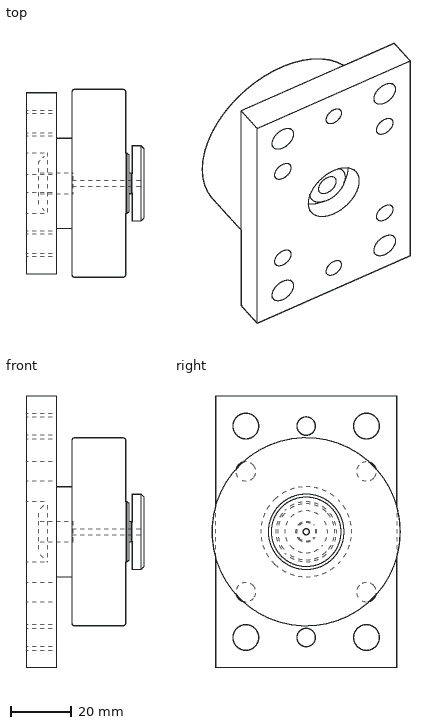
import cadquery as cq

plate_thickness = 10.0
plate_width = 60.0
plate_height = 90.0

hole_offset_y = 20.0
outer_hole_offset_z = 35.0
inner_hole_offset_z = 20.0
corner_hole_diameter = 8.5
inner_hole_diameter = 6.5
middle_hole_diameter = 6.0

neck_diameter = 30.0
neck_length = 5.0
wheel_diameter = 62.4
wheel_width = 17.9
wheel_edge_fillet = 1.0

axle_diameter = 20.0
axle_recess = 4.0
axle_back_chamfer = 3.0
axle_front_chamfer = 0.6
axle_protrusion = 1.1

pin_diameter = 6.9
pin_chamfer = 0.4
fine_hole_diameter = 2.0
disc_gap = 1.0
disc_diameter = 25.0
disc_thickness = 4.0
disc_front_chamfer = 1.0

wheel_start = plate_thickness + neck_length
wheel_end = wheel_start + wheel_width
axle_end = wheel_end + axle_protrusion
disc_start = axle_end + disc_gap
disc_end = disc_start + disc_thickness
pin_start = wheel_start


def cylinder_along_x(start, end, diameter):
    """Cylinder centred on the X axis between two X stations."""
    return cq.Workplane("YZ", origin=(start, 0, 0)).circle(diameter / 2).extrude(end - start)


def plate_holes(diameter, centres):
    """Round cutters through the plate at the given (Y, Z) centres."""
    return cq.Workplane("YZ").pushPoints(centres).circle(diameter / 2).extrude(plate_thickness)


def make_plate():
    corner_centres = []
    inner_centres = []
    middle_centres = []
    for side_z in (-1, 1):
        middle_centres.append((0, side_z * outer_hole_offset_z))
        for side_y in (-1, 1):
            y = side_y * hole_offset_y
            corner_centres.append((y, side_z * outer_hole_offset_z))
            inner_centres.append((y, side_z * inner_hole_offset_z))

    plate = cq.Workplane("YZ").rect(plate_width, plate_height).extrude(plate_thickness)
    plate = plate.cut(plate_holes(corner_hole_diameter, corner_centres))
    plate = plate.cut(plate_holes(inner_hole_diameter, inner_centres))
    plate = plate.cut(plate_holes(middle_hole_diameter, middle_centres))
    axle_bore = cylinder_along_x(0, plate_thickness, axle_diameter)
    return plate.cut(axle_bore)


def make_wheel():
    neck = cylinder_along_x(plate_thickness, wheel_start, neck_diameter)
    wheel = cylinder_along_x(wheel_start, wheel_end, wheel_diameter).edges().fillet(wheel_edge_fillet)
    return neck.union(wheel)


def make_axle():
    axle = cylinder_along_x(axle_recess, axle_end, axle_diameter)
    axle = axle.faces("<X").chamfer(axle_back_chamfer)
    return axle.faces(">X").chamfer(axle_front_chamfer)


def make_pin_and_disc():
    pin = cylinder_along_x(pin_start, disc_start, pin_diameter)
    pin = pin.faces("<X or >X").chamfer(pin_chamfer)
    disc = cylinder_along_x(disc_start, disc_end, disc_diameter)
    disc = disc.faces(">X").chamfer(disc_front_chamfer)
    return pin.union(disc)


body = make_plate().union(make_wheel()).union(make_axle())
pin_bore = cylinder_along_x(0, axle_end, pin_diameter)
fine_hole = cylinder_along_x(0, disc_end, fine_hole_diameter)

result = body.cut(pin_bore).union(make_pin_and_disc()).cut(fine_hole)